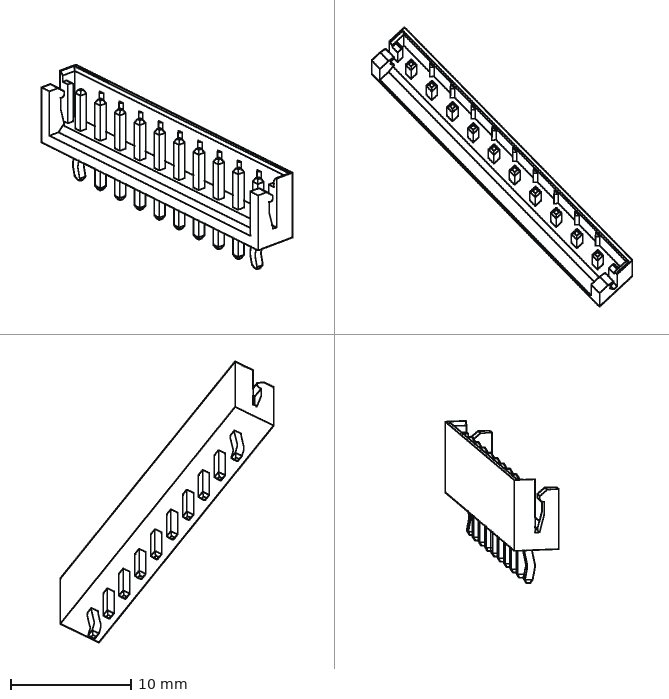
import cadquery as cq
import math


LENGTH = 27.5
DEPTH = 3.8
HEIGHT = 6.0
OVERALL_HEIGHT = 9.2
FLOOR_Z = 1.48
SIDE_WALL = 0.35
BACK_WALL = 0.4
SIDE_WALL_FRONT_Y = 2.04
RIM_DEPTH = 0.33
RIM_SIDE = 0.25
RIM_BACK = 0.1

SILL_Z = 1.0
SILL_DEPTH = 1.0
SILL_SLOPE_DEPTH = FLOOR_Z - SILL_Z

POST_WIDTH = 1.02
POST_TOP_Z = 5.1
POST_TOP_DEPTH = 1.0
POST_ROOT_DEPTH = 1.65
POST_NECK_DEPTH = 1.25
POST_NECK_LOW_Z = 3.05
NOSE_DEPTH = 1.62
NOSE_TOP_Z = 4.56
NOSE_BOTTOM_Z = 4.07
NOSE_RADIUS = 0.25
PILLAR_BACK_Y = 2.65
PILLAR_BEVEL = 0.16

PIN_COUNT = 10
PITCH = LENGTH / (PIN_COUNT + 1)
PIN_WIDTH = 0.65
PIN_Y = 2.17
PIN_BOTTOM_Z = HEIGHT - OVERALL_HEIGHT
PIN_TIP_LENGTH = 0.33
PIN_TIP_WIDTH = 0.3
PIN_SHANK_TOP_Z = POST_TOP_Z - PIN_TIP_LENGTH
PIN_SHANK_BOTTOM_Z = PIN_BOTTOM_Z + PIN_TIP_LENGTH

KINK_START_Z = -0.33
KINK_UPPER_Z = -1.62
KINK_LOWER_Z = -1.87
KINK_SHIFT = 0.28
KINK_END_SHIFT = 0.08

RIB_TOP_Z = 4.92
RIB_HEIGHT = 0.28
RIB_HALF_WIDTH = 0.25

INNER_BACK_Y = DEPTH - BACK_WALL


def block(x0, x1, y0, y1, z0, z1):
    """Box between two opposite corners."""
    return cq.Workplane("XY").box(x1 - x0, y1 - y0, z1 - z0, centered=False).translate((x0, y0, z0))


def along_x(outline, x0, x1):
    """Extrude a workplane outline drawn in (Y, Z) from x0 to x1."""
    return outline.extrude(x1 - x0).translate((x0, 0, 0))


def base():
    """Floor slab with the lower sill and its slope at the front."""
    slope_end_y = SILL_DEPTH + SILL_SLOPE_DEPTH
    corners = [
        (0, 0),
        (DEPTH, 0),
        (DEPTH, FLOOR_Z),
        (slope_end_y, FLOOR_Z),
        (SILL_DEPTH, SILL_Z),
        (0, SILL_Z),
    ]
    outline = cq.Workplane("YZ").polyline(corners).close()
    return along_x(outline, -LENGTH / 2, LENGTH / 2)


def walls():
    """Back and side walls, bevelled around the inside of the rim."""
    inner_x = LENGTH / 2 - SIDE_WALL
    outer = block(-LENGTH / 2, LENGTH / 2, SIDE_WALL_FRONT_Y, DEPTH, 0, HEIGHT)
    cavity = block(-inner_x, inner_x, 0, INNER_BACK_Y, FLOOR_Z, HEIGHT)
    bevel = (
        cq.Workplane("XY")
        .workplane(offset=HEIGHT - RIM_DEPTH)
        .center(0, INNER_BACK_Y / 2)
        .rect(2 * inner_x, INNER_BACK_Y)
        .workplane(offset=RIM_DEPTH)
        .center(0, RIM_BACK / 2)
        .rect(2 * (inner_x + RIM_SIDE), INNER_BACK_Y + RIM_BACK)
        .loft(ruled=True)
    )
    return outer.cut(cavity).cut(bevel)


def latch_post():
    """Left front corner post with a latch nose, rounded underneath, facing the back."""
    arc_y = NOSE_DEPTH - NOSE_RADIUS
    arc_z = NOSE_BOTTOM_Z + NOSE_RADIUS
    arc_mid_offset = NOSE_RADIUS * math.sqrt(0.5)
    outline = (
        cq.Workplane("YZ")
        .moveTo(POST_ROOT_DEPTH, 0)
        .lineTo(0, 0)
        .lineTo(0, POST_TOP_Z)
        .lineTo(POST_TOP_DEPTH, POST_TOP_Z)
        .lineTo(NOSE_DEPTH, NOSE_TOP_Z)
        .lineTo(NOSE_DEPTH, arc_z)
        .threePointArc((arc_y + arc_mid_offset, arc_z - arc_mid_offset), (arc_y, NOSE_BOTTOM_Z))
        .lineTo(POST_NECK_DEPTH, NOSE_BOTTOM_Z)
        .lineTo(POST_NECK_DEPTH, POST_NECK_LOW_Z)
        .lineTo(POST_ROOT_DEPTH, FLOOR_Z)
        .close()
    )
    return along_x(outline, -LENGTH / 2, POST_WIDTH - LENGTH / 2)


def pillar():
    """Left pillar inside the side wall, bevelled along its top back edge."""
    body = block(-LENGTH / 2, POST_WIDTH - LENGTH / 2, SIDE_WALL_FRONT_Y, PILLAR_BACK_Y, 0, POST_TOP_Z)
    return body.edges(">Y and >Z").chamfer(PILLAR_BEVEL)


def rib(x):
    """Triangular rib on the back wall."""
    return (
        cq.Workplane("XY")
        .polyline(
            [
                (x - RIB_HALF_WIDTH, INNER_BACK_Y),
                (x, INNER_BACK_Y - RIB_HEIGHT),
                (x + RIB_HALF_WIDTH, INNER_BACK_Y),
                (x + RIB_HALF_WIDTH, DEPTH),
                (x - RIB_HALF_WIDTH, DEPTH),
            ]
        )
        .close()
        .extrude(RIB_TOP_Z)
    )


def pin_tip(x, y, start_z, direction):
    """Tapered end of a pin, pointing up (+1) or down (-1)."""
    return (
        cq.Workplane("XY", origin=(x, y, start_z))
        .rect(PIN_WIDTH, PIN_WIDTH)
        .workplane(offset=direction * PIN_TIP_LENGTH)
        .rect(PIN_TIP_WIDTH, PIN_TIP_WIDTH)
        .loft(ruled=True)
    )


def pin(x, kinked):
    """Square pin with tapered ends; a kinked pin has its tail bent forward."""
    if kinked:
        bends = [
            (0, KINK_START_Z),
            (KINK_SHIFT, KINK_UPPER_Z),
            (KINK_SHIFT, KINK_LOWER_Z),
            (KINK_END_SHIFT, PIN_SHANK_BOTTOM_Z),
        ]
    else:
        bends = [(0, PIN_SHANK_BOTTOM_Z)]
    centre_line = [(PIN_Y, PIN_SHANK_TOP_Z)] + [(PIN_Y - shift, z) for shift, z in bends]
    front_edge = [(y - PIN_WIDTH / 2, z) for y, z in centre_line]
    back_edge = [(y + PIN_WIDTH / 2, z) for y, z in centre_line]
    outline = cq.Workplane("YZ").polyline(front_edge + back_edge[::-1]).close()
    shank = along_x(outline, x - PIN_WIDTH / 2, x + PIN_WIDTH / 2)
    tail_y = centre_line[-1][0]
    top_tip = pin_tip(x, PIN_Y, PIN_SHANK_TOP_Z, 1)
    tail_tip = pin_tip(x, tail_y, PIN_SHANK_BOTTOM_Z, -1)
    return shank.union(top_tip).union(tail_tip)


left_corner = latch_post().union(pillar())
result = base().union(walls()).union(left_corner).union(left_corner.mirror("YZ"))

first_pin_x = -PITCH * (PIN_COUNT - 1) / 2
for index in range(PIN_COUNT):
    pin_x = first_pin_x + index * PITCH
    result = result.union(pin(pin_x, kinked=index in (0, PIN_COUNT - 1)))

for index in range(PIN_COUNT - 1):
    result = result.union(rib(first_pin_x + (index + 0.5) * PITCH))